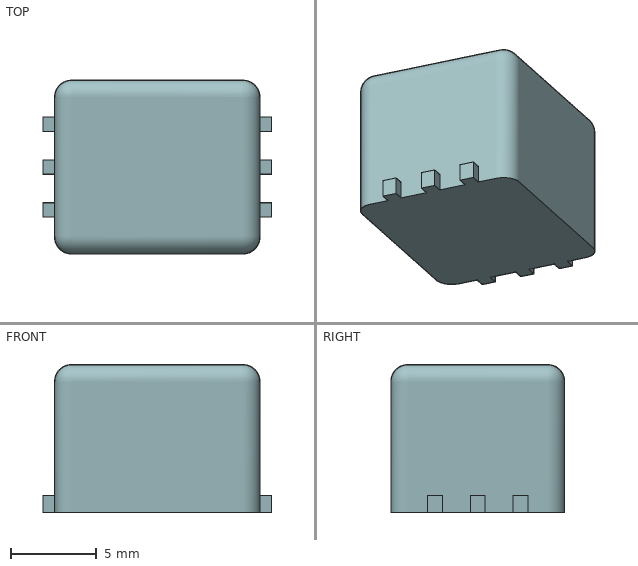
import cadquery as cq

overall_length = 13.36
body_width = 10.15
body_height = 8.65

body_length = 12.0
edge_radius = 1.0

terminal_width = 0.85
terminal_height = 1.0
terminal_pitch = 2.5
terminals_per_side = 3


def make_body():
    """Block with rounded vertical and top edges and a flat base."""
    block = cq.Workplane("XY").box(
        body_length, body_width, body_height, centered=(True, True, False)
    )
    return block.edges("|Z or >Z").fillet(edge_radius)


def make_terminal_pair(y_center):
    """Bar through the body whose two ends form opposite terminals."""
    bar = cq.Workplane("XY").box(
        overall_length, terminal_width, terminal_height, centered=(True, True, False)
    )
    return bar.translate((0, y_center, 0))


result = make_body()
for index in range(terminals_per_side):
    y_center = (index - (terminals_per_side - 1) / 2) * terminal_pitch
    result = result.union(make_terminal_pair(y_center))